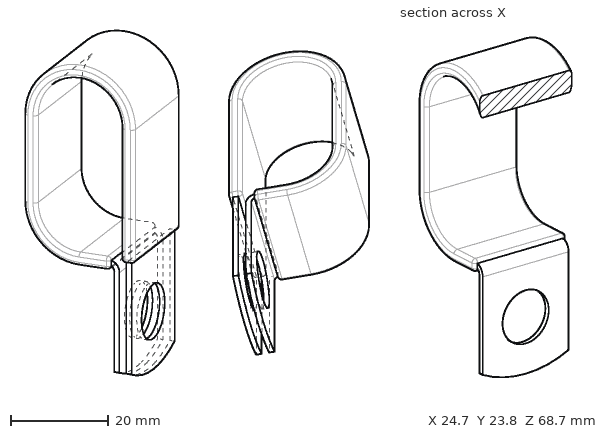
import cadquery as cq
import math

total_height = 68.7
loop_width = 24.65
strip_thickness = 1.2
strip_width = 22.2
cushion_thickness = 0.8
side_length = 19.1
cushion_foot_x = 6.95
cushion_right_z = 27.0
bend_center_x = 6.35
bend_inner_radius = 1.25
hole_diameter = 11.9
hole_z = 12.7
tip_sagitta = 2.55

outer_radius = loop_width / 2
arch_z = total_height - outer_radius
corner_z = arch_z - side_length
cushion_width = strip_width + 2 * cushion_thickness
cushion_band = strip_thickness + 2 * cushion_thickness
strip_outer_radius = outer_radius - cushion_thickness
strip_inner_radius = strip_outer_radius - strip_thickness
bend_outer_radius = bend_inner_radius + strip_thickness
bend_center_z = corner_z - strip_inner_radius - bend_outer_radius


def loop_band(outer, thickness, foot_x, right_z, width):
    """Band round the loop, from the right leg over the arch to the end of the floor."""
    inner = outer - thickness
    return (
        cq.Workplane("XZ")
        .moveTo(outer, right_z)
        .lineTo(outer, arch_z)
        .threePointArc((0, arch_z + outer), (-outer, arch_z))
        .lineTo(-outer, corner_z)
        .radiusArc((0, corner_z - outer), -outer)
        .lineTo(foot_x, corner_z - outer)
        .lineTo(foot_x, corner_z - inner)
        .lineTo(0, corner_z - inner)
        .radiusArc((-inner, corner_z), inner)
        .lineTo(-inner, arch_z)
        .threePointArc((0, arch_z + inner), (inner, arch_z))
        .lineTo(inner, right_z)
        .close()
        .extrude(width / 2, both=True)
    )


def left_tab():
    """Strip turning down from the loop floor."""
    diagonal = math.sqrt(0.5)

    def bend_middle(radius):
        return (bend_center_x + radius * diagonal, bend_center_z + radius * diagonal)

    outer_x = bend_center_x + bend_outer_radius
    inner_x = bend_center_x + bend_inner_radius
    return (
        cq.Workplane("XZ")
        .moveTo(bend_center_x, bend_center_z + bend_outer_radius)
        .threePointArc(bend_middle(bend_outer_radius), (outer_x, bend_center_z))
        .lineTo(outer_x, 0)
        .lineTo(inner_x, 0)
        .lineTo(inner_x, bend_center_z)
        .threePointArc(
            bend_middle(bend_inner_radius),
            (bend_center_x, bend_center_z + bend_inner_radius),
        )
        .close()
        .extrude(strip_width / 2, both=True)
    )


def tab_envelope():
    """Outline of the strip seen along X, with rounded tip and bolt hole."""
    half_width = strip_width / 2
    return (
        cq.Workplane("YZ")
        .moveTo(-half_width, tip_sagitta)
        .threePointArc((0, 0), (half_width, tip_sagitta))
        .lineTo(half_width, total_height)
        .lineTo(-half_width, total_height)
        .close()
        .moveTo(0, hole_z)
        .circle(hole_diameter / 2)
        .extrude(loop_width, both=True)
    )


strip = loop_band(strip_outer_radius, strip_thickness, bend_center_x, 0, strip_width)
strip = strip.union(left_tab()).intersect(tab_envelope())

cushion = loop_band(outer_radius, cushion_band, cushion_foot_x, cushion_right_z, cushion_width)
side_edges = cushion.faces("<Y or >Y").edges()
foot_edges = cushion.faces(cq.selectors.BoxSelector(
    (cushion_foot_x - cushion_thickness, -cushion_width, corner_z - outer_radius),
    (cushion_foot_x + cushion_thickness, cushion_width, corner_z - outer_radius + cushion_band),
)).edges("|Y")
right_end_edges = cushion.faces(cq.selectors.BoxSelector(
    (outer_radius - cushion_band, -cushion_width, cushion_right_z - cushion_thickness),
    (outer_radius, cushion_width, cushion_right_z + cushion_thickness),
)).edges("|Y")
cushion = cushion.newObject(
    side_edges.vals() + foot_edges.vals() + right_end_edges.vals()
).fillet(cushion_thickness)

result = cushion.union(strip)